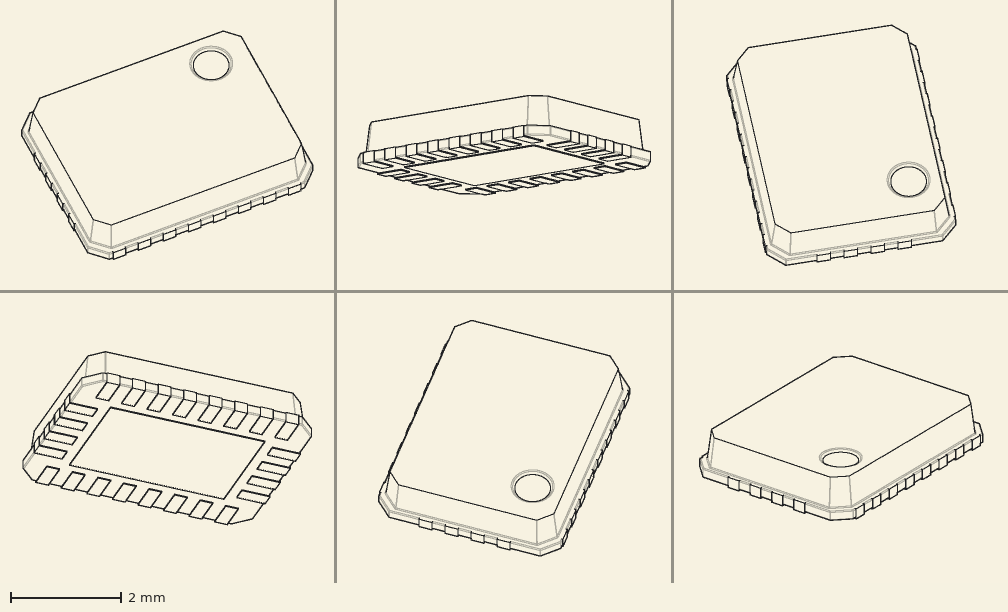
import cadquery as cq

LENGTH = 4.52
WIDTH = 3.52
HEIGHT = 0.8

PLATING = 0.01
BASE_BOTTOM = 2 * PLATING
BASE_LENGTH = LENGTH - 2 * PLATING
BASE_WIDTH = WIDTH - 2 * PLATING
BASE_CORNER = 0.3
BASE_TOP = 0.21
EDGE_ROUND = 0.02

PADS_PER_LONG_SIDE = 8
PADS_PER_SHORT_SIDE = 4
LONG_ROW_SPAN = 3.5
PAD_PITCH = LONG_ROW_SPAN / (PADS_PER_LONG_SIDE - 1)
PAD_WIDTH = PAD_PITCH / 2
PAD_REACH = 0.55

CENTRE_PAD_GAP = 0.2
CENTRE_PAD_INSET = PAD_REACH + CENTRE_PAD_GAP

LID_LENGTH = 4.305
LID_WIDTH = 3.29
LID_CORNER = 0.29
LID_TAPER = 7.0
LID_EDGE_ROUND = 0.015
LID_FOOT_ROUND = 0.02

DIMPLE_X = -0.995
DIMPLE_Y = 1.33
DIMPLE_FLOOR_RADIUS = 0.325
DIMPLE_RIM_RADIUS = 0.375
DIMPLE_DEPTH = 0.055
DIMPLE_RIM_ROUND = 0.035


def clipped_block(width, length, corner, bottom, top, taper=0.0):
    """Rectangular block with four clipped corners, optionally narrowing upwards."""
    x = width / 2
    y = length / 2
    outline = [
        (x - corner, y),
        (x, y - corner),
        (x, corner - y),
        (x - corner, -y),
        (corner - x, -y),
        (-x, corner - y),
        (-x, y - corner),
        (corner - x, y),
    ]
    sketch = cq.Workplane("XY", origin=(0, 0, bottom)).polyline(outline).close()
    return sketch.extrude(top - bottom, taper=taper)


def pad_block(x_size, y_size, x=0.0, y=0.0):
    """Metal block standing from the seating plane up to the top of the base."""
    return cq.Workplane("XY", origin=(x, y, 0)).box(x_size, y_size, BASE_TOP, centered=(True, True, False))


def row_positions(count):
    """Pad centres along an edge, symmetric about its middle."""
    return [(i - (count - 1) / 2) * PAD_PITCH for i in range(count)]


def make_body():
    """Base plate with rounded edges, and the lid blended onto it."""
    base = clipped_block(BASE_WIDTH, BASE_LENGTH, BASE_CORNER, BASE_BOTTOM, BASE_TOP)
    base = base.edges().fillet(EDGE_ROUND)

    lid = clipped_block(LID_WIDTH, LID_LENGTH, LID_CORNER, BASE_TOP, HEIGHT, LID_TAPER)
    lid = lid.edges("not #Z").fillet(LID_EDGE_ROUND)

    foot_edges = cq.selectors.BoxSelector(
        (-LID_WIDTH / 2 - EDGE_ROUND, -LID_LENGTH / 2 - EDGE_ROUND, BASE_TOP - EDGE_ROUND / 2),
        (LID_WIDTH / 2 + EDGE_ROUND, LID_LENGTH / 2 + EDGE_ROUND, BASE_TOP + EDGE_ROUND / 2),
        boundingbox=True,
    )
    return base.union(lid).edges(foot_edges).fillet(LID_FOOT_ROUND)


def cut_dimple(body):
    """Shallow conical recess with a rounded rim."""
    dimple = (
        cq.Workplane("XY", origin=(DIMPLE_X, DIMPLE_Y, HEIGHT - DIMPLE_DEPTH))
        .circle(DIMPLE_FLOOR_RADIUS)
        .workplane(offset=DIMPLE_DEPTH)
        .circle(DIMPLE_RIM_RADIUS)
        .loft()
    )
    return body.cut(dimple).faces(">Z").edges("%CIRCLE").fillet(DIMPLE_RIM_ROUND)


def add_pads(body):
    """Edge pads on all four sides plus the centre pad."""
    side_x = (WIDTH - PAD_REACH) / 2
    side_y = (LENGTH - PAD_REACH) / 2
    for side in (-1, 1):
        for y in row_positions(PADS_PER_LONG_SIDE):
            body = body.union(pad_block(PAD_REACH, PAD_WIDTH, side * side_x, y))
        for x in row_positions(PADS_PER_SHORT_SIDE):
            body = body.union(pad_block(PAD_WIDTH, PAD_REACH, x, side * side_y))
    return body.union(pad_block(WIDTH - 2 * CENTRE_PAD_INSET, LENGTH - 2 * CENTRE_PAD_INSET))


result = add_pads(cut_dimple(make_body()))